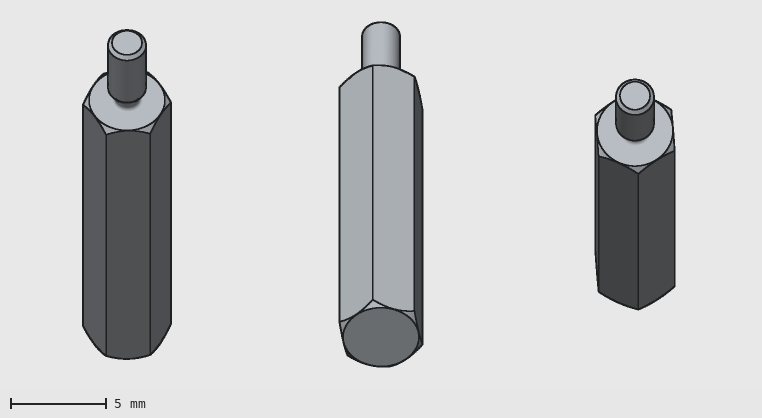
import cadquery as cq
import math

total_length = 25.0
body_length = 20.0
across_flats = 4.0
across_corners = across_flats / math.cos(math.radians(30))
end_face_diameter = 3.98
corner_chamfer = (across_corners - end_face_diameter) / 2

stud_diameter = 2.0
tip_diameter = 1.58
neck_diameter = 1.3
neck_fillet = 0.22
cone_fillet = 0.15
neck_top = 20.5
selection_margin = 0.02
shank_bottom = 21.12
tip_chamfer = (stud_diameter - tip_diameter) / 2


def make_body():
    """Hexagon with corners on X, its corners turned off at 45 degrees at both ends."""
    hexagon = cq.Workplane("XY").polygon(6, across_corners).extrude(body_length)
    turned_envelope = (
        cq.Workplane("XY")
        .circle(across_corners / 2)
        .extrude(body_length)
        .faces("<Z or >Z")
        .chamfer(corner_chamfer)
    )
    return hexagon.intersect(turned_envelope)


def make_stud():
    """Revolved stud: filleted root, neck blended into the cone, shank and chamfered tip."""
    neck_radius = neck_diameter / 2
    stud_radius = stud_diameter / 2
    arc_inset = neck_fillet * (1 - math.sqrt(0.5))
    profile = (
        cq.Workplane("XZ")
        .moveTo(0, body_length)
        .lineTo(neck_radius + neck_fillet, body_length)
        .threePointArc(
            (neck_radius + arc_inset, body_length + arc_inset),
            (neck_radius, body_length + neck_fillet),
        )
        .lineTo(neck_radius, neck_top)
        .lineTo(stud_radius, shank_bottom)
        .lineTo(stud_radius, total_length - tip_chamfer)
        .lineTo(tip_diameter / 2, total_length)
        .lineTo(0, total_length)
        .close()
    )
    stud = profile.revolve(360, (0, 0, 0), (0, 1, 0))
    neck_to_cone = cq.selectors.BoxSelector(
        (-stud_diameter, -stud_diameter, neck_top - selection_margin),
        (stud_diameter, stud_diameter, neck_top + selection_margin),
    )
    return stud.edges(neck_to_cone).fillet(cone_fillet)


result = make_body().union(make_stud())